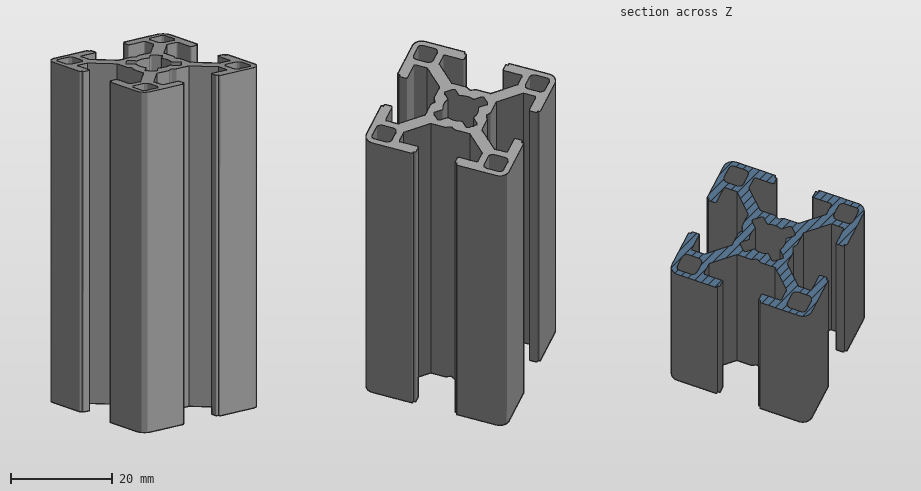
import cadquery as cq
import math

SIZE = 30.0
LENGTH = 70.0
CORNER_RADIUS = 2.0
HALF = SIZE / 2

OPENING_HALF = 4.1
LIP_THICKNESS = 2.2
LIP_RADIUS = 0.3
REBATE_WIDTH = 0.5
REBATE_DEPTH = 0.5
REBATE_RADIUS = 0.2
CAVITY_HALF = 8.25
CAVITY_RADIUS = 0.3
FLOOR_HEIGHT = 5.95
FLOOR_HALF = 4.1
FLANK_TOP = FLOOR_HEIGHT + CAVITY_HALF - FLOOR_HALF
GROOVE_HALF = 0.97
GROOVE_DEPTH = 0.55
GROOVE_RADIUS = 0.35

HOLLOW_INNER = 9.7
HOLLOW_OUTER = 13.8
HOLLOW_OUTER_RADIUS = 0.8
HOLLOW_RADIUS = 1.0

BORE_RADIUS = 3.55
KEYWAY_REACH = 5.45
KEYWAY_WIDTH = 2.4
KEYWAY_RADIUS = 0.4
MOUTH_RADIUS = 0.2

AXIS_START = (0, 0, 0)
AXIS_END = (0, 0, 1)
SIDE_ANGLES = (0, 90, 180, 270)
KEYWAY_ANGLES = (45, 135)


def make_block():
    block = cq.Workplane("XY").rect(SIZE, SIZE).extrude(LENGTH)
    return block.edges("|Z").fillet(CORNER_RADIUS)


def round_edge(solid, x, y, radius):
    """Round the lengthwise edge that runs through (x, y)."""
    edge = cq.selectors.NearestToPointSelector((x, y, LENGTH / 2))
    return solid.edges("|Z").edges(edge).fillet(radius)


def make_slot():
    """T-slot opening toward +Y, with 45 degree flanks leading to its floor."""
    lip_inside = HALF - LIP_THICKNESS
    rebate_floor = HALF - REBATE_DEPTH
    rebate_half = OPENING_HALF + REBATE_WIDTH
    groove_bottom = FLOOR_HEIGHT - GROOVE_DEPTH
    ledge_half = rebate_half + REBATE_WIDTH
    above = HALF + REBATE_DEPTH
    right_half = [
        (GROOVE_HALF, FLOOR_HEIGHT),
        (FLOOR_HALF, FLOOR_HEIGHT),
        (CAVITY_HALF, FLANK_TOP),
        (CAVITY_HALF, lip_inside),
        (OPENING_HALF, lip_inside),
        (OPENING_HALF, rebate_floor),
        (rebate_half, rebate_floor),
        (rebate_half, HALF),
        (ledge_half, HALF),
        (ledge_half, above),
    ]
    left_half = [(-x, y) for x, y in reversed(right_half)]
    outline = [(0, groove_bottom)] + right_half + left_half
    slot = cq.Workplane("XY").polyline(outline).close().extrude(LENGTH)

    slot = round_edge(slot, 0, groove_bottom, GROOVE_RADIUS)
    for side in (-1, 1):
        slot = round_edge(slot, side * GROOVE_HALF, FLOOR_HEIGHT, GROOVE_RADIUS)
        slot = round_edge(slot, side * CAVITY_HALF, lip_inside, CAVITY_RADIUS)
        slot = round_edge(slot, side * OPENING_HALF, lip_inside, LIP_RADIUS)
        slot = round_edge(slot, side * OPENING_HALF, rebate_floor, REBATE_RADIUS)
        slot = round_edge(slot, side * rebate_half, HALF, REBATE_RADIUS)
    return slot


def make_corner_hollow():
    """Rounded square hollow in the +X +Y corner."""
    side = HOLLOW_OUTER - HOLLOW_INNER
    middle = (HOLLOW_INNER + HOLLOW_OUTER) / 2
    hollow = cq.Workplane("XY").center(middle, middle).rect(side, side).extrude(LENGTH)
    hollow = round_edge(hollow, HOLLOW_OUTER, HOLLOW_OUTER, HOLLOW_OUTER_RADIUS)
    hollow = round_edge(hollow, HOLLOW_INNER, HOLLOW_OUTER, HOLLOW_RADIUS)
    hollow = round_edge(hollow, HOLLOW_OUTER, HOLLOW_INNER, HOLLOW_RADIUS)
    return round_edge(hollow, HOLLOW_INNER, HOLLOW_INNER, HOLLOW_RADIUS)


def make_bore():
    """Round bore joined with two crossed diagonal slots, with rounded mouth edges."""
    bore = cq.Workplane("XY").circle(BORE_RADIUS).extrude(LENGTH)
    bar = cq.Workplane("XY").rect(2 * KEYWAY_REACH, KEYWAY_WIDTH).extrude(LENGTH)
    bar = bar.edges("|Z").fillet(KEYWAY_RADIUS)
    for angle in KEYWAY_ANGLES:
        bore = bore.union(bar.rotate(AXIS_START, AXIS_END, angle))

    mouth_half_angle = math.asin(KEYWAY_WIDTH / 2 / BORE_RADIUS)
    for side_angle in SIDE_ANGLES:
        for side in (-1, 1):
            angle = math.radians(side_angle + KEYWAY_ANGLES[0]) + side * mouth_half_angle
            x = BORE_RADIUS * math.cos(angle)
            y = BORE_RADIUS * math.sin(angle)
            bore = round_edge(bore, x, y, MOUTH_RADIUS)
    return bore


slot = make_slot()
corner_hollow = make_corner_hollow()

result = make_block().cut(make_bore())
for side_angle in SIDE_ANGLES:
    result = result.cut(slot.rotate(AXIS_START, AXIS_END, side_angle))
    result = result.cut(corner_hollow.rotate(AXIS_START, AXIS_END, side_angle))